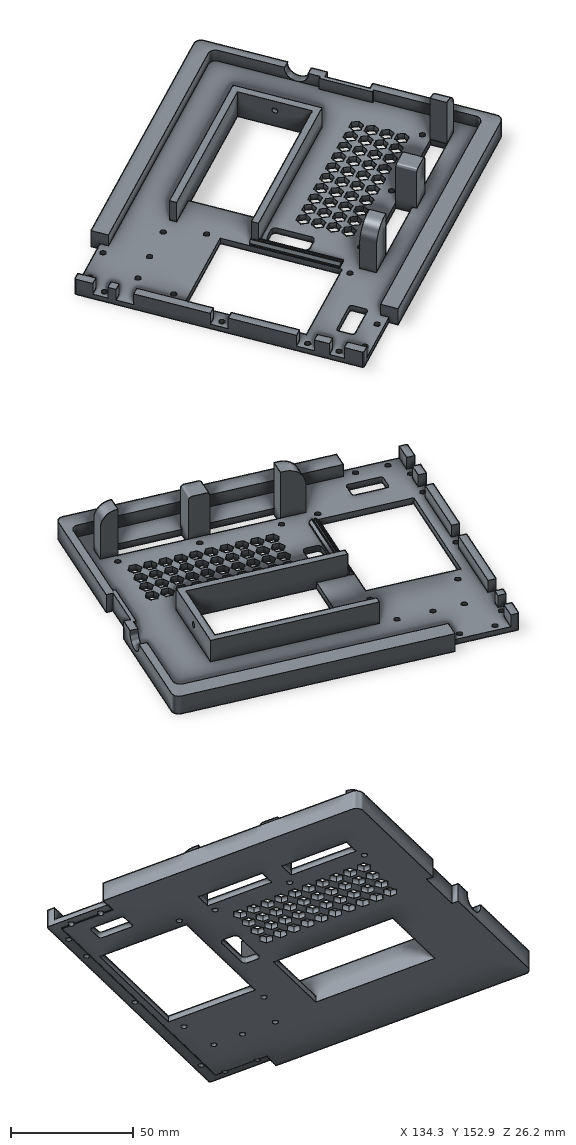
import cadquery as cq
import math

WIDTH = 134.29
DEPTH = 152.95
HEIGHT = 26.2
REAR_Y = DEPTH / 2
FRONT_Y = -DEPTH / 2

PLATE_TOP = 3.0
RIM_TOP = 9.0
RAIL_WIDTH = 7.65
RAIL_FRONT_Y = -46.9
RIM_THICKNESS = 3.6
RIM_CORNER_RADIUS = 3.2
FRONT_WIDTH = 126.4
FRONT_EDGE_CHAMFER = 0.5

RELIEF_DEPTH = 0.5
RELIEF_FRONT = 4.9
RELIEF_SIDE = 3.6

LIP_SEGMENTS = [
    (-FRONT_WIDTH / 2, -55.3),
    (-48.7, -45.1),
    (-37.4, -3.9),
    (3.9, 33.8),
    (41.6, 48.2),
    (54.7, FRONT_WIDTH / 2),
]

NOTCH_WIDTH = 19.7
NOTCH_DEPTH = 3.0
NOTCH_PANEL_WIDTH = 23.4
NOTCH_PANEL_THICKNESS = 1.8

CABLE_X = -22.1
CABLE_GROOVE_Z = 8.2
CABLE_GROOVE_RADIUS = 5.2
CABLE_HOLE_Z = 8.6

FRAME_LEFT = -41.5
FRAME_RIGHT = -2.6
FRAME_REAR_Y = 50.6
FRAME_FRONT_Y = -23.6
FRAME_TOP = 13.8
FRAME_WALL = 3.1
FRAME_WINDOW_FRONT_Y = -9.9

WINDOW_LEFT = -18.2
WINDOW_RIGHT = 35.1
WINDOW_REAR_Y = -26.6
WINDOW_FRONT_Y = -68.4

RIDGE_RIGHT = 33.9
RIDGE_REAR_Y = -21.8
RIDGE_WIDTH = 4.2
RIDGE_TOP = 4.9
RIDGE_CHAMFER = 1.2
RIDGE_SLOT_WIDTH = 0.8

ROUNDED_OPENINGS = [
    (8.9, -16.9, 18.8, 8.3, 2.0),
    (49.6, -53.7, 7.9, 16.2, 1.2),
]

POST_LEFT = 41.6
POST_WIDTH = 7.3
REAR_POST_REAR_Y = 66.8
REAR_POST_FRONT_Y = 59.0
REAR_POST_RADIUS = 7.4
REAR_POST_OVERHANG = 0.2
MIDDLE_POST_REAR_Y = 28.0
MIDDLE_POST_FRONT_Y = 18.5
MIDDLE_POST_WIDTH = 9.2
MIDDLE_POST_TOP = 24.2
MIDDLE_POST_RADIUS = 1.8
FRONT_POST_REAR_Y = -12.3
FRONT_POST_FRONT_Y = -23.6
FRONT_POST_RADIUS = 9.4

VENT_CENTER = (20.0, 26.0)
VENT_COLUMNS = 4
VENT_ROWS = 10
VENT_PITCH = 6.68
VENT_TURN = -0.6
VENT_HEX_ACROSS_FLATS = 5.2

SCREW_DIAMETER = 2.5
SCREW_POINTS = [
    (37.5, 60.7), (37.5, 24.7), (37.5, -11.3),
    (38.9, -27.7), (-24.3, -26.2), (-24.3, -64.7),
    (-41.4, -31.3), (-41.4, -47.1), (-41.4, -60.9),
    (-60.1, -51.6), (-60.1, -67.2),
    (60.1, -52.5), (60.1, -66.7),
    (-51.4, -73.3), (0.0, -73.3), (37.5, -73.3), (51.2, -73.3),
]


def box(x0, x1, y0, y1, z0, z1):
    """Axis-aligned block between two corners."""
    return cq.Workplane("XY").box(x1 - x0, y1 - y0, z1 - z0, centered=False).translate((x0, y0, z0))


def cylinder_along_y(x, z, radius, y0, y1):
    """Cylinder parallel to Y between two Y positions."""
    return cq.Workplane("XZ", origin=(x, y1, z)).circle(radius).extrude(y1 - y0)


def make_tray():
    """Plate with side rails and rear wall, narrower in front of the rails."""
    rim = box(-WIDTH / 2, WIDTH / 2, RAIL_FRONT_Y, REAR_Y, 0, RIM_TOP)
    rim = rim.edges("|Z and >Y").fillet(RIM_CORNER_RADIUS)
    inner_x = WIDTH / 2 - RAIL_WIDTH
    inner_rear_y = REAR_Y - RIM_THICKNESS
    inside = box(-inner_x, inner_x, RAIL_FRONT_Y, inner_rear_y, PLATE_TOP, RIM_TOP)
    inside = inside.edges("|Z and >Y").fillet(RIM_CORNER_RADIUS)
    return rim.cut(inside).union(make_front_section())


def make_front_section():
    """Front part of the plate with its interrupted lip and underside relief."""
    half = FRONT_WIDTH / 2
    front = box(-half, half, FRONT_Y, RAIL_FRONT_Y, 0, PLATE_TOP)
    for x0, x1 in LIP_SEGMENTS:
        front = front.union(box(x0, x1, FRONT_Y, FRONT_Y + RIM_THICKNESS, 0, RIM_TOP))
    front = front.edges("|Z and <Y and (<X or >X)").chamfer(FRONT_EDGE_CHAMFER)
    relief = box(-half, half, FRONT_Y, RAIL_FRONT_Y, 0, RELIEF_DEPTH)
    pad_half = half - RELIEF_SIDE
    pad = box(-pad_half, pad_half, FRONT_Y + RELIEF_FRONT, RAIL_FRONT_Y, 0, RELIEF_DEPTH)
    return front.cut(relief.cut(pad))


def add_rear_notch(body):
    """Notch in the rear wall, with the thin panel that closes it."""
    notch_y = REAR_Y - NOTCH_DEPTH
    panel_half = NOTCH_PANEL_WIDTH / 2
    panel = box(-panel_half, panel_half, notch_y - NOTCH_PANEL_THICKNESS, notch_y, 0, RIM_TOP)
    notch = box(-NOTCH_WIDTH / 2, NOTCH_WIDTH / 2, notch_y, REAR_Y, 0, RIM_TOP)
    return body.union(panel).cut(notch)


def cut_cable_groove(body):
    """Round groove open at the top of the rear wall."""
    wall_y = REAR_Y - RIM_THICKNESS
    return body.cut(cylinder_along_y(CABLE_X, CABLE_GROOVE_Z, CABLE_GROOVE_RADIUS, wall_y, REAR_Y))


def add_frame(body):
    """Upright frame, open to the front, with its cable hole and window."""
    inner_left = FRAME_LEFT + FRAME_WALL
    inner_right = FRAME_RIGHT - FRAME_WALL
    inner_rear_y = FRAME_REAR_Y - FRAME_WALL
    frame = box(FRAME_LEFT, FRAME_RIGHT, FRAME_FRONT_Y, FRAME_REAR_Y, 0, FRAME_TOP)
    inside = box(inner_left, inner_right, FRAME_FRONT_Y, inner_rear_y, PLATE_TOP, FRAME_TOP)
    window = box(inner_left, inner_right, FRAME_WINDOW_FRONT_Y, inner_rear_y, 0, PLATE_TOP)
    hole = cylinder_along_y(CABLE_X, CABLE_HOLE_Z, SCREW_DIAMETER / 2, inner_rear_y, FRAME_REAR_Y)
    return body.union(frame.cut(inside)).cut(window).cut(hole)


def add_ridge(body):
    """Ridge with both top edges chamfered and a slot down to the plate."""
    left = FRAME_RIGHT - FRAME_WALL
    front_y = RIDGE_REAR_Y - RIDGE_WIDTH
    center_y = RIDGE_REAR_Y - RIDGE_WIDTH / 2
    slot_half = RIDGE_SLOT_WIDTH / 2
    ridge = box(left, RIDGE_RIGHT, front_y, RIDGE_REAR_Y, PLATE_TOP, RIDGE_TOP)
    ridge = ridge.edges("|X and >Z").chamfer(RIDGE_CHAMFER)
    slot = box(left, RIDGE_RIGHT, center_y - slot_half, center_y + slot_half, PLATE_TOP, RIDGE_TOP)
    return body.union(ridge.cut(slot))


def cut_openings(body):
    """Front window, rounded openings and the long side slot."""
    body = body.cut(box(WINDOW_LEFT, WINDOW_RIGHT, WINDOW_FRONT_Y, WINDOW_REAR_Y, 0, PLATE_TOP))
    for x, y, size_x, size_y, radius in ROUNDED_OPENINGS:
        opening = cq.Workplane("XY").center(x, y).rect(size_x, size_y).extrude(PLATE_TOP)
        body = body.cut(opening.edges("|Z").fillet(radius))
    slot_right = POST_LEFT + POST_WIDTH
    slot_rear_y = REAR_POST_FRONT_Y + REAR_POST_OVERHANG
    return body.cut(box(POST_LEFT, slot_right, FRONT_POST_REAR_Y, slot_rear_y, 0, PLATE_TOP))


def add_posts(body):
    """Three posts with rounded tops along the side slot; the rear one overhangs the slot end."""
    right = POST_LEFT + POST_WIDTH
    rear = box(POST_LEFT, right, REAR_POST_FRONT_Y, REAR_POST_REAR_Y, PLATE_TOP, HEIGHT)
    rear = rear.edges("|X and >Z and >Y").fillet(REAR_POST_RADIUS)
    middle_right = POST_LEFT + MIDDLE_POST_WIDTH
    middle = box(POST_LEFT, middle_right, MIDDLE_POST_FRONT_Y, MIDDLE_POST_REAR_Y, 0, MIDDLE_POST_TOP)
    middle = middle.edges("|X and >Z").fillet(MIDDLE_POST_RADIUS)
    front = box(POST_LEFT, right, FRONT_POST_FRONT_Y, FRONT_POST_REAR_Y, 0, HEIGHT)
    front = front.edges("|X and >Z and <Y").fillet(FRONT_POST_RADIUS)
    return body.union(rear).union(middle).union(front)


def cut_vent(body):
    """Grid of hexagonal holes with points toward front and rear."""
    across_corners = VENT_HEX_ACROSS_FLATS / math.cos(math.pi / 6)
    holes = (
        cq.Workplane("XY")
        .transformed(offset=VENT_CENTER, rotate=(0, 0, VENT_TURN + 90))
        .rarray(VENT_PITCH, VENT_PITCH, VENT_ROWS, VENT_COLUMNS)
        .polygon(6, across_corners)
        .extrude(PLATE_TOP)
    )
    return body.cut(holes)


def cut_screw_holes(body):
    """Plain screw holes through the plate."""
    holes = cq.Workplane("XY").pushPoints(SCREW_POINTS).circle(SCREW_DIAMETER / 2).extrude(PLATE_TOP)
    return body.cut(holes)


result = make_tray()
result = add_rear_notch(result)
result = cut_cable_groove(result)
result = add_frame(result)
result = add_ridge(result)
result = cut_openings(result)
result = add_posts(result)
result = cut_vent(result)
result = cut_screw_holes(result)